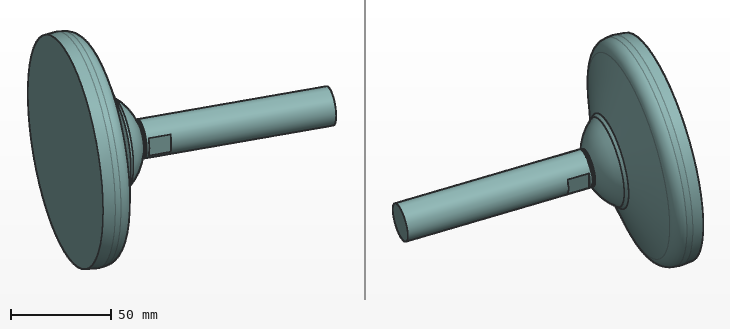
import cadquery as cq
import math

TOTAL_HEIGHT = 139.0

FOOT_DIAMETER = 120.0
FLOOR_RADIUS = 59.4
WIDEST_HEIGHT = 6.1
SHOULDER_START_RADIUS = 59.6
SHOULDER_START_HEIGHT = 9.2
SHOULDER_MID_RADIUS = 58.0
SHOULDER_MID_HEIGHT = 13.5
SHOULDER_END_RADIUS = 53.7
SHOULDER_END_HEIGHT = 16.0
LIP_BASE_RADIUS = 24.9
LIP_BASE_HEIGHT = 26.1
LIP_TOP_HEIGHT = 28.0

STUD_RADIUS = 10.0
DOME_SPHERE_RADIUS = 29.3
DOME_CENTER_HEIGHT = 10.3
COLLAR_RADIUS = 9.9
COLLAR_TOP_HEIGHT = 38.5
NECK_RADIUS = 8.6
NECK_TOP_HEIGHT = 39.5

ACROSS_FLATS = 17.2
FLATS_BOTTOM_HEIGHT = 40.9
FLATS_TOP_HEIGHT = 52.4


def dome_radius_at(height):
    """Radius of the dome's circular section at a given height."""
    return math.sqrt(DOME_SPHERE_RADIUS**2 - (height - DOME_CENTER_HEIGHT) ** 2)


def dome_height_at(radius):
    """Height at which the dome has a given section radius."""
    return DOME_CENTER_HEIGHT + math.sqrt(DOME_SPHERE_RADIUS**2 - radius**2)


def revolve_about_y(profile):
    return profile.close().revolve(360, (0, 0, 0), (0, 1, 0))


def make_foot():
    """Plate with a rounded shoulder, a conical top and a short lip around the dome seat."""
    profile = (
        cq.Workplane("XY")
        .lineTo(FLOOR_RADIUS, 0)
        .lineTo(FOOT_DIAMETER / 2, WIDEST_HEIGHT)
        .lineTo(SHOULDER_START_RADIUS, SHOULDER_START_HEIGHT)
        .threePointArc(
            (SHOULDER_MID_RADIUS, SHOULDER_MID_HEIGHT),
            (SHOULDER_END_RADIUS, SHOULDER_END_HEIGHT),
        )
        .lineTo(LIP_BASE_RADIUS, LIP_BASE_HEIGHT)
        .lineTo(dome_radius_at(LIP_TOP_HEIGHT), LIP_TOP_HEIGHT)
        .lineTo(0, LIP_TOP_HEIGHT)
    )
    return revolve_about_y(profile)


def make_flat_cutters():
    """Two blocks that leave the wrench flats between them."""
    flats_length = FLATS_TOP_HEIGHT - FLATS_BOTTOM_HEIGHT
    center_height = (FLATS_TOP_HEIGHT + FLATS_BOTTOM_HEIGHT) / 2
    cutter_offset = (ACROSS_FLATS + STUD_RADIUS) / 2
    return (
        cq.Workplane("XY")
        .pushPoints([(-cutter_offset, center_height), (cutter_offset, center_height)])
        .box(STUD_RADIUS, flats_length, 2 * STUD_RADIUS)
    )


def make_stud():
    """Plain shank above a narrow neck, a collar and a dome that rests on the foot."""
    collar_bottom_height = dome_height_at(COLLAR_RADIUS)
    dome_mid_height = (LIP_TOP_HEIGHT + collar_bottom_height) / 2
    profile = (
        cq.Workplane("XY")
        .moveTo(0, LIP_TOP_HEIGHT)
        .lineTo(dome_radius_at(LIP_TOP_HEIGHT), LIP_TOP_HEIGHT)
        .threePointArc(
            (dome_radius_at(dome_mid_height), dome_mid_height),
            (COLLAR_RADIUS, collar_bottom_height),
        )
        .lineTo(COLLAR_RADIUS, COLLAR_TOP_HEIGHT)
        .lineTo(NECK_RADIUS, COLLAR_TOP_HEIGHT)
        .lineTo(NECK_RADIUS, NECK_TOP_HEIGHT)
        .lineTo(STUD_RADIUS, NECK_TOP_HEIGHT)
        .lineTo(STUD_RADIUS, TOTAL_HEIGHT)
        .lineTo(0, TOTAL_HEIGHT)
    )
    return revolve_about_y(profile).cut(make_flat_cutters()).solids()


foot = make_foot()
stud = make_stud()

result = cq.Compound.makeCompound([foot.val(), stud.val()])